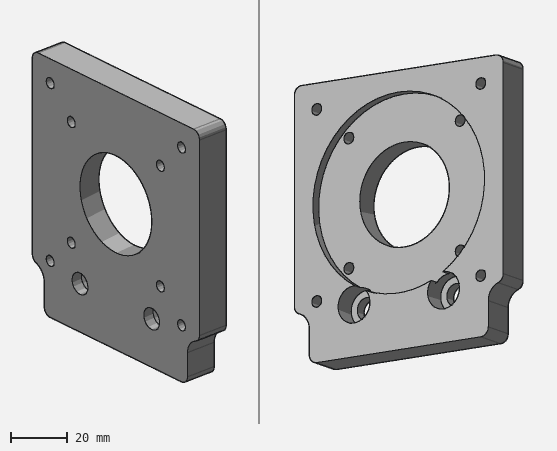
import cadquery as cq
import math

HEIGHT = 101.6
WIDTH = 88.9
THICKNESS = 12.7
CORNER_RADIUS = THICKNESS / 4

FOOT_INSET = THICKNESS / 2
SCOOP_RADIUS = FOOT_INSET
SCOOP_HEIGHT = 12.7

BORE_DIAMETER = 38.1
BORE_HEIGHT = HEIGHT - WIDTH / 2

RECESS_DIAMETER = 73.0
RECESS_DEPTH = 3.7

SMALL_HOLE_DIAMETER = 4.2
INNER_PATTERN_SIDE = 47.3
OUTER_PATTERN_SIDE = 69.8

FOOT_HOLE_DIAMETER = 8.3
FOOT_HOLE_SPACING = 38.1
FOOT_HOLE_HEIGHT = FOOT_HOLE_SPACING / 2

COUNTERBORE_DIAMETER = 13.5
COUNTERBORE_DEPTH = 8.3


def make_plate():
    """Rounded plate with both lower corners stepped in to form the foot."""
    side = WIDTH / 2
    foot_side = side - FOOT_INSET
    diagonal = math.sqrt(0.5)

    radius_sum = SCOOP_RADIUS + CORNER_RADIUS
    shoulder_rise = math.sqrt(radius_sum**2 - CORNER_RADIUS**2)
    shoulder_x = side - CORNER_RADIUS
    shoulder_z = SCOOP_HEIGHT + shoulder_rise
    scoop_end_angle = math.atan2(shoulder_rise, -CORNER_RADIUS)
    scoop_mid_angle = (math.pi + scoop_end_angle) / 2
    shoulder_mid_angle = (scoop_end_angle - math.pi) / 2

    def scoop_point(angle):
        return (side + SCOOP_RADIUS * math.cos(angle), SCOOP_HEIGHT + SCOOP_RADIUS * math.sin(angle))

    def shoulder_point(angle):
        return (shoulder_x + CORNER_RADIUS * math.cos(angle), shoulder_z + CORNER_RADIUS * math.sin(angle))

    foot_corner_x = foot_side - CORNER_RADIUS
    top_corner_z = HEIGHT - CORNER_RADIUS
    corner_offset = CORNER_RADIUS * diagonal

    right_half = (
        cq.Workplane("XZ", origin=(0, THICKNESS / 2, 0))
        .lineTo(foot_corner_x, 0)
        .threePointArc(
            (foot_corner_x + corner_offset, CORNER_RADIUS - corner_offset),
            (foot_side, CORNER_RADIUS),
        )
        .lineTo(foot_side, SCOOP_HEIGHT)
        .threePointArc(scoop_point(scoop_mid_angle), scoop_point(scoop_end_angle))
        .threePointArc(shoulder_point(shoulder_mid_angle), (side, shoulder_z))
        .lineTo(side, top_corner_z)
        .threePointArc(
            (shoulder_x + corner_offset, top_corner_z + corner_offset),
            (shoulder_x, HEIGHT),
        )
        .lineTo(0, HEIGHT)
    )
    return right_half.mirrorY().extrude(THICKNESS)


def hole_cutters(diameter, positions, depth=THICKNESS):
    """Cylinders sunk from the +Y face at (x, z) positions, through the plate by default."""
    return (
        cq.Workplane("XZ", origin=(0, THICKNESS / 2, 0))
        .pushPoints(positions)
        .circle(diameter / 2)
        .extrude(depth)
    )


def square_pattern(pattern_side):
    """Corners of a square centred on the bore."""
    half = pattern_side / 2
    return [(x, BORE_HEIGHT + z) for x in (-half, half) for z in (-half, half)]


result = make_plate()
result = result.cut(hole_cutters(BORE_DIAMETER, [(0, BORE_HEIGHT)]))
result = result.cut(hole_cutters(RECESS_DIAMETER, [(0, BORE_HEIGHT)], RECESS_DEPTH))
for pattern_side in (INNER_PATTERN_SIDE, OUTER_PATTERN_SIDE):
    result = result.cut(hole_cutters(SMALL_HOLE_DIAMETER, square_pattern(pattern_side)))

foot_hole_positions = [(x, FOOT_HOLE_HEIGHT) for x in (-FOOT_HOLE_SPACING / 2, FOOT_HOLE_SPACING / 2)]
result = result.cut(hole_cutters(FOOT_HOLE_DIAMETER, foot_hole_positions))
result = result.cut(hole_cutters(COUNTERBORE_DIAMETER, foot_hole_positions, COUNTERBORE_DEPTH))